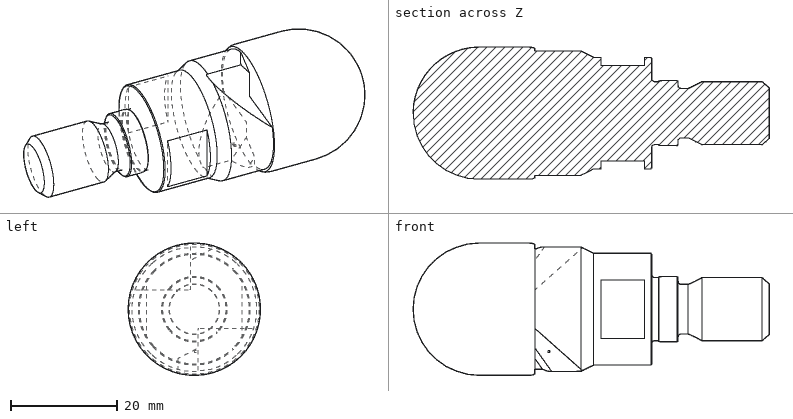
import cadquery as cq
import math

LENGTH = 67.0
CAP_RADIUS = 12.45
CAP_TAPER_START = 21.85
CAP_CORNER_START = 22.45
CAP_END = 22.9
CAP_TAPER = 0.1
CAP_CORNER_DROP = 0.2

BODY_RADIUS = 11.7
BODY_END = 31.55
SHANK_START = 34.0
SHANK_RADIUS = 10.5
SHANK_END = 44.9
SHANK_CHAMFER = 0.2

NECK_RADIUS = 5.95
NECK_FILLET = 0.55
COLLAR_START = 46.1
COLLAR_STEP = 0.15
COLLAR_RADIUS = 6.15
COLLAR_LEAD = 0.6
COLLAR_END = 49.85
COLLAR_CHAMFER = 0.2
GROOVE_RADIUS = 4.7
GROOVE_FILLET = 0.55
GROOVE_END = 51.7
GROOVE_EXIT_LENGTH = 0.2
GROOVE_EXIT_RISE = 0.1
PIN_RADIUS = 5.95
PIN_START = 54.35
PIN_CHAMFER_LENGTH = 1.4
PIN_CHAMFER_DEPTH = 1.2

FLAT_START = 35.4
FLAT_LENGTH = 8.1
FLAT_HALF_WIDTH = 9.0

FLUTE_WALL_Y = 0.75
FLUTE_FLOOR_START_Z = 3.6
FLUTE_FLOOR_ANGLE = 41.6
FLUTE_ROOT_RADIUS = 0.15

GASH_FAR_Y = -3.1
GASH_RUN_PER_HEIGHT = 0.71
GASH_RUN_PER_WIDTH = 0.37
UPPER_GASH_END = 24.7
LOWER_GASH_END = 26.05

PINHOLE_X = 25.5
PINHOLE_Z = -8.0
PINHOLE_DIAMETER = 0.4
PINHOLE_DEPTH = 0.7

HALF_ROOT = math.sqrt(0.5)


def half_turn(shape):
    """Turn a shape by half a revolution about the part axis."""
    return shape.rotate((0, 0, 0), (1, 0, 0), 180)


def quarter_arc_midpoint(center_x, center_radius, radius, toward_x, toward_radius):
    """Middle of a quarter arc, in the quadrant given by the two signs."""
    offset = radius * HALF_ROOT
    return center_x + toward_x * offset, center_radius + toward_radius * offset


def revolved_body():
    dome_middle = quarter_arc_midpoint(CAP_RADIUS, 0, CAP_RADIUS, -1, 1)
    neck_fillet_end = SHANK_END + NECK_FILLET
    neck_middle = quarter_arc_midpoint(
        neck_fillet_end, NECK_RADIUS + NECK_FILLET, NECK_FILLET, -1, -1
    )
    groove_fillet_end = COLLAR_END + GROOVE_FILLET
    groove_middle = quarter_arc_midpoint(
        groove_fillet_end, GROOVE_RADIUS + GROOVE_FILLET, GROOVE_FILLET, -1, -1
    )
    cap_corner_radius = CAP_RADIUS - CAP_TAPER
    profile = (
        cq.Workplane("XY")
        .threePointArc(dome_middle, (CAP_RADIUS, CAP_RADIUS))
        .lineTo(CAP_TAPER_START, CAP_RADIUS)
        .lineTo(CAP_CORNER_START, cap_corner_radius)
        .lineTo(CAP_END, cap_corner_radius - CAP_CORNER_DROP)
        .lineTo(CAP_END, BODY_RADIUS)
        .lineTo(BODY_END, BODY_RADIUS)
        .lineTo(SHANK_START, SHANK_RADIUS)
        .lineTo(SHANK_END - SHANK_CHAMFER, SHANK_RADIUS)
        .lineTo(SHANK_END, SHANK_RADIUS - SHANK_CHAMFER)
        .lineTo(SHANK_END, NECK_RADIUS + NECK_FILLET)
        .threePointArc(neck_middle, (neck_fillet_end, NECK_RADIUS))
        .lineTo(COLLAR_START, NECK_RADIUS)
        .lineTo(COLLAR_START + COLLAR_STEP, NECK_RADIUS + COLLAR_STEP)
        .lineTo(COLLAR_START + COLLAR_STEP + COLLAR_LEAD, COLLAR_RADIUS)
        .lineTo(COLLAR_END - COLLAR_CHAMFER, COLLAR_RADIUS)
        .lineTo(COLLAR_END, COLLAR_RADIUS - COLLAR_CHAMFER)
        .lineTo(COLLAR_END, GROOVE_RADIUS + GROOVE_FILLET)
        .threePointArc(groove_middle, (groove_fillet_end, GROOVE_RADIUS))
        .lineTo(GROOVE_END, GROOVE_RADIUS)
        .lineTo(GROOVE_END + GROOVE_EXIT_LENGTH, GROOVE_RADIUS + GROOVE_EXIT_RISE)
        .lineTo(PIN_START, PIN_RADIUS)
        .lineTo(LENGTH - PIN_CHAMFER_LENGTH, PIN_RADIUS)
        .lineTo(LENGTH, PIN_RADIUS - PIN_CHAMFER_DEPTH)
        .lineTo(LENGTH, 0)
        .close()
    )
    return profile.revolve(360, (0, 0, 0), (1, 0, 0))


def wrench_flat():
    """Block outside the +Y flat."""
    return cq.Workplane("XY").box(
        FLAT_LENGTH, SHANK_RADIUS, 2 * SHANK_RADIUS, centered=(False, False, True)
    ).translate((FLAT_START, FLAT_HALF_WIDTH, 0))


def flute():
    """Wedge above the sloping floor, on the +Y side of the wall, with a rounded root."""
    rise = CAP_RADIUS - FLUTE_FLOOR_START_Z
    run = rise / math.tan(math.radians(FLUTE_FLOOR_ANGLE))
    wedge = (
        cq.Workplane("XZ", origin=(0, FLUTE_WALL_Y, 0))
        .moveTo(CAP_END, FLUTE_FLOOR_START_Z)
        .lineTo(CAP_END + run, CAP_RADIUS)
        .lineTo(CAP_END, CAP_RADIUS)
        .close()
        .extrude(-CAP_RADIUS)
    )
    root_middle = (CAP_END + run / 2, FLUTE_WALL_Y, FLUTE_FLOOR_START_Z + rise / 2)
    return wedge.edges(cq.NearestToPointSelector(root_middle)).fillet(FLUTE_ROOT_RADIUS)


def gash(end_x):
    """Relief whose oblique plane meets the flute wall at end_x on the body surface."""

    def section(y):
        shift = GASH_RUN_PER_WIDTH * (y - FLUTE_WALL_Y)
        top_x = end_x + shift + GASH_RUN_PER_HEIGHT * (CAP_RADIUS - BODY_RADIUS)
        bottom_z = CAP_RADIUS - (top_x - CAP_END) / GASH_RUN_PER_HEIGHT
        points = [(CAP_END, bottom_z), (top_x, CAP_RADIUS), (CAP_END, CAP_RADIUS)]
        return cq.Wire.makePolygon([cq.Vector(x, y, z) for x, z in points], close=True)

    return cq.Workplane(cq.Solid.makeLoft([section(GASH_FAR_Y), section(FLUTE_WALL_Y)], True))


def pinhole():
    return (
        cq.Workplane("XZ", origin=(PINHOLE_X, -FLUTE_WALL_Y, PINHOLE_Z))
        .circle(PINHOLE_DIAMETER / 2)
        .extrude(-PINHOLE_DEPTH)
    )


result = revolved_body()
for cutter in (wrench_flat(), flute()):
    result = result.cut(cutter).cut(half_turn(cutter))
result = result.cut(gash(UPPER_GASH_END))
result = result.cut(half_turn(gash(LOWER_GASH_END)))
result = result.cut(pinhole())